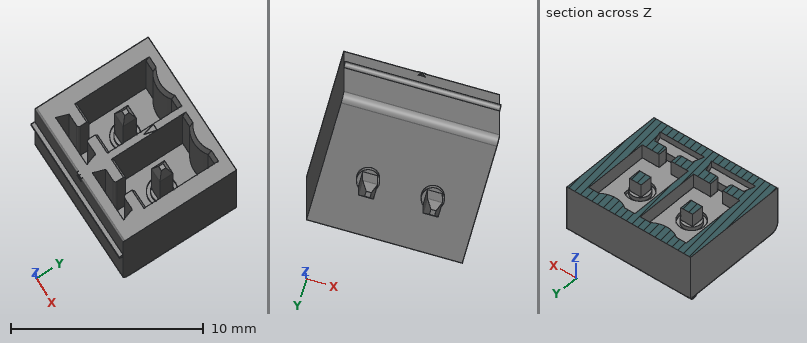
import cadquery as cq
import math


width = 8.4
height = 9.2
front_y = -4.01
back_y = 3.0
bottom_front_radius = 0.5
top_front_radius = 0.1

rib_depth = 0.24
rib_height = 0.44
rib_top_z = height - 3.16
rib_radius = 0.21

pitch = 3.49
cell_centres = (-pitch / 2, pitch / 2)
cell_width = 3.1
cell_front_y = -1.99
cell_back_y = 2.27
floor_z = 2.0
funnel_depth = 0.5
funnel_setback = 0.2
bulge_half_width = 0.88
bulge_height = 0.29

lead_in_setback = 0.14
lead_in_depth = 0.4

neck_width = 0.81
neck_radius = 0.15
slot_back_y = -2.67
slot_front_y = -3.35
slot_back_width = 2.52
slot_front_width = 2.97
slot_floor_z = floor_z + 0.5

pin_size = 0.81
pin_tip_size = 0.28
pin_taper = 1.0
pin_bottom_z = -3.4
pin_top_z = height - 1.3
collar_radius = 0.6
collar_bottom_z = -0.5
collar_stand = 0.05
recess_radius = 0.82
recess_depth = 0.2
recess_flat_offset = 0.52

mark_width = 0.38
mark_length = 0.7
mark_depth = 0.1
mark_gap = 0.01
mark_land_width = 0.4

OVERCUT = 0.13


def box(x_min, x_max, y_min, y_max, z_min, z_max):
    size = (x_max - x_min, y_max - y_min, z_max - z_min)
    return cq.Workplane("XY").box(*size, centered=False).translate((x_min, y_min, z_min))


def make_housing():
    body = box(-width / 2, width / 2, front_y, back_y, 0, height)
    body = body.edges("<Y and <Z").fillet(bottom_front_radius)
    body = body.edges("<Y and >Z").fillet(top_front_radius)
    land = box(-mark_land_width / 2, mark_land_width / 2, front_y, front_y + 2 * top_front_radius,
               height - 2 * top_front_radius, height)
    return body.union(land)


def make_rib():
    rib = box(-width / 2, width / 2, front_y - rib_depth, front_y + OVERCUT,
              rib_top_z - rib_height, rib_top_z)
    return rib.edges("<Y and <Z").fillet(rib_radius)


def cell_outline(z, back):
    """Rectangular cell outline whose back wall bulges inwards on a shallow arc."""
    half = cell_width / 2
    return (
        cq.Workplane("XY", origin=(0, 0, z))
        .moveTo(-half, cell_front_y)
        .lineTo(half, cell_front_y)
        .lineTo(half, back)
        .lineTo(bulge_half_width, back)
        .threePointArc((0, back - bulge_height), (-bulge_half_width, back))
        .lineTo(-half, back)
        .close()
    )


def make_funnel():
    """Top of the cell, where the back wall slopes outwards."""
    lower = cell_outline(height - funnel_depth, cell_back_y).wires().val()
    upper = cell_outline(height, cell_back_y + funnel_setback).wires().val()
    return cq.Workplane(cq.Solid.makeLoft([lower, upper], True))


def make_lead_in():
    """Wedge cutter that slopes the tops of the tabs away from the cell."""
    start_z = height - lead_in_depth
    return (
        cq.Workplane("YZ")
        .moveTo(cell_front_y, start_z)
        .lineTo(cell_front_y - lead_in_setback, height)
        .lineTo(cell_front_y + OVERCUT, height)
        .lineTo(cell_front_y + OVERCUT, start_z)
        .close()
        .extrude(cell_width / 2, both=True)
    )


def make_slot():
    """Dovetail slot with a neck that opens into the cell; the neck mouth is rounded."""
    dovetail = (
        cq.Workplane("XY", origin=(0, 0, slot_floor_z))
        .moveTo(-slot_front_width / 2, slot_front_y)
        .lineTo(slot_front_width / 2, slot_front_y)
        .lineTo(slot_back_width / 2, slot_back_y)
        .lineTo(-slot_back_width / 2, slot_back_y)
        .close()
        .extrude(height - slot_floor_z)
    )
    neck_half = neck_width / 2
    mouth_half = neck_half + neck_radius
    arc_y = slot_back_y + neck_radius
    arc_mid = neck_radius * math.sqrt(0.5)
    neck = (
        cq.Workplane("XY", origin=(0, 0, floor_z))
        .moveTo(-mouth_half, slot_back_y)
        .lineTo(mouth_half, slot_back_y)
        .threePointArc((mouth_half - arc_mid, arc_y - arc_mid), (neck_half, arc_y))
        .lineTo(neck_half, cell_front_y + OVERCUT)
        .lineTo(-neck_half, cell_front_y + OVERCUT)
        .lineTo(-neck_half, arc_y)
        .threePointArc((-mouth_half + arc_mid, arc_y - arc_mid), (-mouth_half, slot_back_y))
        .close()
        .extrude(height - floor_z)
    )
    return dovetail.union(neck)


def make_cavity():
    cell = cell_outline(floor_z, cell_back_y).extrude(height - floor_z)
    return cell.union(make_funnel()).union(make_lead_in()).union(make_slot())


def make_recess(flat_sided):
    """Shallow round recess in the cell floor, optionally cut short on the +X side."""
    bottom_z = floor_z - recess_depth
    recess = cq.Workplane("XY", origin=(0, 0, bottom_z)).circle(recess_radius).extrude(recess_depth)
    if flat_sided:
        recess = recess.cut(box(recess_flat_offset, recess_radius, -recess_radius, recess_radius,
                                bottom_z, floor_z))
    return recess


def make_pin():
    """Square pin tapered at both ends, with a round collar through the housing floor."""
    shank_bottom_z = pin_bottom_z + pin_taper
    shank_top_z = pin_top_z - pin_taper
    shank = (
        cq.Workplane("XY", origin=(0, 0, shank_bottom_z))
        .rect(pin_size, pin_size)
        .extrude(shank_top_z - shank_bottom_z)
    )
    for shank_end_z, tip_z in ((shank_top_z, pin_top_z), (shank_bottom_z, pin_bottom_z)):
        tip = (
            cq.Workplane("XY", origin=(0, 0, shank_end_z))
            .rect(pin_size, pin_size)
            .workplane(offset=tip_z - shank_end_z)
            .rect(pin_tip_size, pin_tip_size)
            .loft(ruled=True)
        )
        shank = shank.union(tip)
    collar = (
        cq.Workplane("XY", origin=(0, 0, collar_bottom_z))
        .circle(collar_radius)
        .extrude(floor_z + collar_stand - collar_bottom_z)
    )
    return shank.union(collar)


def make_mark(plane):
    """Triangular prism with its base centred on the plane origin and its apex along local +Y."""
    half = mark_width / 2
    return (
        cq.Workplane(plane)
        .polyline([(-half, 0), (half, 0), (0, mark_length)])
        .close()
        .extrude(-mark_depth)
    )


front_mark_plane = cq.Plane(
    origin=(0, front_y, height - mark_gap - mark_length), xDir=(1, 0, 0), normal=(0, -1, 0)
)
top_mark_plane = cq.Plane(origin=(0, mark_length, height), xDir=(-1, 0, 0), normal=(0, 0, 1))

result = make_housing().union(make_rib())
for centre in cell_centres:
    result = result.cut(make_cavity().translate((centre, 0, 0)))
    result = result.cut(make_recess(flat_sided=centre > 0).translate((centre, 0, 0)))
    result = result.union(make_pin().translate((centre, 0, 0)))
for mark_plane in (front_mark_plane, top_mark_plane):
    result = result.cut(make_mark(mark_plane))